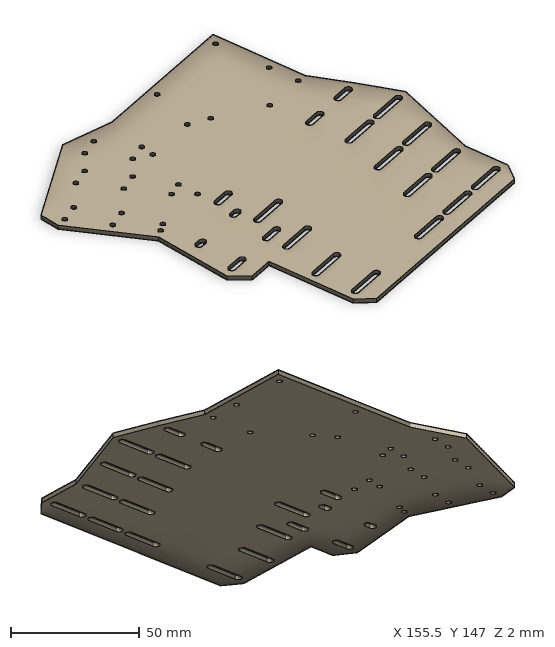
import cadquery as cq
import math

length = 155.5
width = 147.0
thickness = 2.0

pitch = 19.0
last_column = 146.0
half_pitch = pitch / 2

left_edge = 7.3
top_left_edge = 132.4
top_right_edge = 132.8
bottom_right_edge = 29.4
step_edge = 108.0
corner_length = 7.2
corner_width = 5.6

shoulder_x = 51.5
shoulder_bend = 140.0
slope_end = 127.8

tab_corner_y = 18.2
tab_tip_x = 100.0
tab_tip_y = 12.5
tab_root_x = 64.1
tab_root_y = 16.8
tip_x = 28.0
tip_flat_x = 18.8
tip_flat_y = 1.2
left_peak_y = 42.0
left_edge_bottom = 64.9

slot_width = 3.1
long_slot = 17.1
short_slot = 10.0
stub_slot = 5.5
upper_slot_top = 136.7
peak_slot_top = 143.7
outer_slot_top = 129.7
lower_slot_bottom = 46.5
lower_step_slot_top = 56.6
lower_outer_slot_top = 49.6
tab_slot_tops = (49.1, 26.0)

hole_diameter = 2.2
board_corner = (11.5, 89.1)
board_hole_spacing = (25.7, 39.0)
column_hole_heights = (48.0, 109.2, 128.2)
pair_spacing = 23.2
vertical_pairs = ((32.0, 57.5), (60.7, 24.4))

grid_angle = math.radians(25)
grid_corner = (8.5, 50.9)
grid_twin_offset = (1.5, -8.1)
grid_rows = (0, pitch, pitch + pair_spacing)


def slot_column(columns_from_last):
    """X of a slot column, counted leftwards from the last one."""
    return last_column - columns_from_last * pitch


def grid_point(start, across, down):
    """Point reached from start in the axes of the tilted grid."""
    x = start[0] + across * math.cos(grid_angle) + down * math.sin(grid_angle)
    y = start[1] + across * math.sin(grid_angle) - down * math.cos(grid_angle)
    return (x, y)


def make_plate():
    outline = [
        (left_edge, top_left_edge),
        (shoulder_x, top_left_edge),
        (slot_column(4), shoulder_bend),
        (slot_column(3), width),
        (slope_end, top_right_edge),
        (length - corner_length, top_right_edge),
        (length, top_right_edge - corner_width),
        (length, bottom_right_edge + corner_width),
        (length - corner_length, bottom_right_edge),
        (step_edge, bottom_right_edge),
        (step_edge, tab_corner_y),
        (tab_tip_x, tab_tip_y),
        (tab_root_x, tab_root_y),
        (tip_x, 0),
        (tip_flat_x, tip_flat_y),
        (0, left_peak_y),
        (left_edge, left_edge_bottom),
    ]
    return cq.Workplane("XY").polyline(outline).close().extrude(thickness)


def cut_slots(plate, x, slot_length, tops):
    """Cut slots along Y at one X, each placed by its upper end."""
    centers = [(x, top - slot_length / 2) for top in tops]
    cutter = (
        cq.Workplane("XY")
        .pushPoints(centers)
        .slot2D(slot_length, slot_width, 90)
        .extrude(thickness)
    )
    return plate.cut(cutter)


def cut_all_slots(plate):
    lower_short_top = lower_slot_bottom + short_slot
    lower_peak_top = lower_slot_bottom + long_slot
    outer_tops = [outer_slot_top - row * pitch for row in range(3)]

    plate = cut_slots(plate, slot_column(0), long_slot, outer_tops + [lower_outer_slot_top])
    plate = cut_slots(plate, slot_column(1), long_slot, outer_tops[:2] + [lower_outer_slot_top])
    step_tops = (upper_slot_top, upper_slot_top - pitch, lower_step_slot_top)
    plate = cut_slots(plate, slot_column(2), long_slot, step_tops)
    peak_tops = (peak_slot_top, peak_slot_top - pitch, lower_peak_top)
    plate = cut_slots(plate, slot_column(3), long_slot, peak_tops)
    short_tops = (upper_slot_top, upper_slot_top - pitch, lower_short_top)
    plate = cut_slots(plate, slot_column(4), short_slot, short_tops)

    plate = cut_slots(plate, slot_column(2) - half_pitch, short_slot, tab_slot_tops)
    return cut_slots(plate, slot_column(3) - half_pitch, stub_slot, tab_slot_tops)


def hole_centers():
    centers = []

    for dx in (0, board_hole_spacing[0]):
        for dy in (0, board_hole_spacing[1]):
            centers.append((board_corner[0] + dx, board_corner[1] + dy))

    for y in column_hole_heights:
        centers.append((slot_column(5), y))

    for x, y in vertical_pairs:
        centers.append((x, y))
        centers.append((x, y + pair_spacing))

    twin_corner = (grid_corner[0] + grid_twin_offset[0], grid_corner[1] + grid_twin_offset[1])
    for start in (grid_corner, twin_corner):
        for across in (0, pitch):
            for down in grid_rows:
                centers.append(grid_point(start, across, down))

    for down in grid_rows[1:]:
        centers.append(grid_point(twin_corner, 2 * pitch, down))
    return centers


def cut_holes(plate):
    cutter = (
        cq.Workplane("XY")
        .pushPoints(hole_centers())
        .circle(hole_diameter / 2)
        .extrude(thickness)
    )
    return plate.cut(cutter)


result = cut_holes(cut_all_slots(make_plate()))